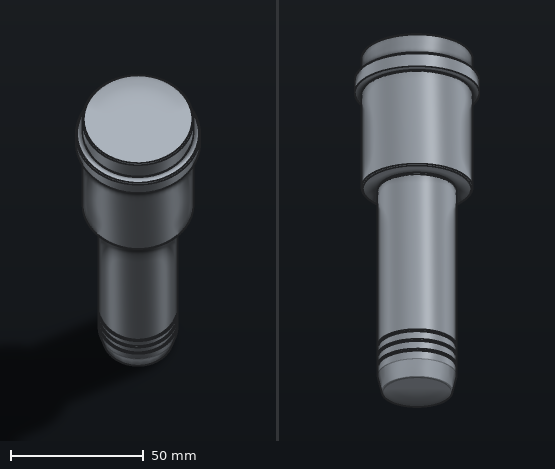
import cadquery as cq

total_length = 140.0
flange_diameter = 47.0
body_diameter = 42.0
shaft_diameter = 30.0
tip_diameter = 26.6

taper_height = 7.0
body_bottom = 85.0
flange_bottom = 125.0
flange_top = 130.9

edge_chamfer = 0.5
tip_fillet = 0.4

relief_depth = 0.5
upper_relief_width = 1.3
lower_relief_width = 0.7
shaft_relief_width = 1.0

groove_count = 3
groove_pitch = 4.0
first_groove_center = 10.6
groove_width = 1.0
groove_depth = 0.4


def cylinder(diameter, bottom, top):
    return cq.Workplane("XY").workplane(offset=bottom).circle(diameter / 2).extrude(top - bottom)


def groove_ring(diameter, depth, bottom, width):
    """Ring of material to remove from a cylinder of the given diameter."""
    clearance = 1.4
    outer = cylinder(diameter + 2 * clearance, bottom, bottom + width)
    return outer.cut(cylinder(diameter - 2 * depth, bottom, bottom + width))


def vee_ring(diameter, depth, width, center_height):
    """Ring that cuts a V-shaped groove into a cylinder of the given diameter."""
    radius = diameter / 2
    profile = [
        (radius - depth, center_height),
        (radius, center_height + width / 2),
        (radius + depth, center_height),
        (radius, center_height - width / 2),
    ]
    return cq.Workplane("XZ").polyline(profile).close().revolve(360, (0, 0, 0), (0, 1, 0))


def make_shaft():
    tip = (
        cq.Workplane("XY")
        .circle(tip_diameter / 2)
        .workplane(offset=taper_height)
        .circle(shaft_diameter / 2)
        .loft()
        .faces("<Z")
        .edges()
        .fillet(tip_fillet)
    )
    shaft = tip.union(cylinder(shaft_diameter, taper_height, body_bottom))
    for index in range(groove_count):
        groove_center = first_groove_center + index * groove_pitch
        shaft = shaft.cut(vee_ring(shaft_diameter, groove_depth, groove_width, groove_center))
    relief_bottom = body_bottom - shaft_relief_width
    return shaft.cut(groove_ring(shaft_diameter, relief_depth, relief_bottom, shaft_relief_width))


def make_body():
    body = cylinder(body_diameter, body_bottom, total_length).edges().chamfer(edge_chamfer)
    body = body.cut(groove_ring(body_diameter, relief_depth, flange_top, upper_relief_width))
    lower_relief_bottom = flange_bottom - lower_relief_width
    return body.cut(groove_ring(body_diameter, relief_depth, lower_relief_bottom, lower_relief_width))


def make_flange():
    return cylinder(flange_diameter, flange_bottom, flange_top).faces(">Z").edges().chamfer(edge_chamfer)


result = make_shaft().union(make_body()).union(make_flange())